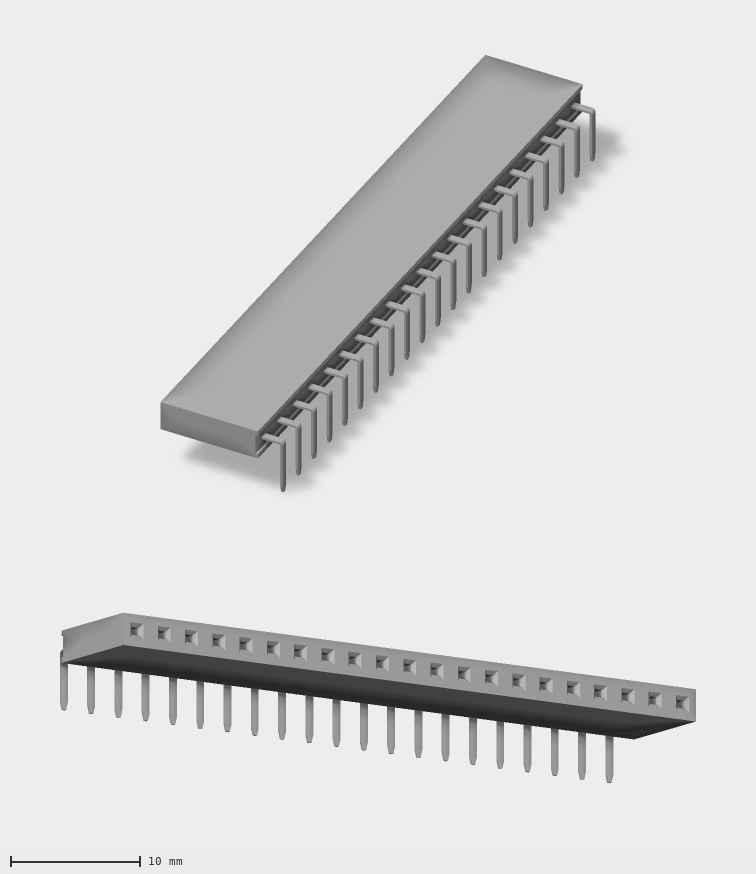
import cadquery as cq

pin_count = 21
pitch = 2.54

body_depth = 8.5
body_length = pin_count * pitch
body_height = pitch
mid_height = body_height / 2

channel_depth = 0.2
channel_height = 1.7

mouth_size = 1.2
well_width = 0.6
funnel_depth = 0.3
well_depth = 6.0

overall_depth = 10.13
overall_height = 5.84
pin_width = 0.6
pin_thickness = 0.2
bend_radius = 0.3
pin_start = 1.3
tip_length = 0.6
solder_tip_width = 0.3
contact_tip_width = 0.36

channel_floor_x = body_depth - channel_depth
pin_bottom = body_height - overall_height
pin_top = mid_height + pin_thickness / 2


def socket_positions():
    first = -(pin_count - 1) * pitch / 2
    return [first + i * pitch for i in range(pin_count)]


def make_body():
    block = cq.Workplane("XY").box(body_depth, body_length, body_height, centered=(False, True, False))
    channel = (
        cq.Workplane("XY")
        .box(channel_depth, body_length, channel_height, centered=(False, True, True))
        .translate((channel_floor_x, 0, mid_height))
    )
    return block.cut(channel)


def make_socket(y):
    """Void of one socket: funnel plus well, opening at the front face."""
    funnel = (
        cq.Workplane("YZ")
        .center(y, mid_height)
        .rect(mouth_size, mouth_size)
        .workplane(offset=funnel_depth)
        .rect(well_width, well_width)
        .loft()
    )
    well = cq.Workplane("YZ").center(y, mid_height).rect(well_width, well_width).extrude(well_depth)
    return funnel.union(well)


def leg_outline(length, tip_width):
    """Outline of a flat pin leg, running along local Y from the bend to a narrowed tip."""
    return [
        (-pin_width / 2, 0),
        (-pin_width / 2, length - tip_length),
        (-tip_width / 2, length),
        (tip_width / 2, length),
        (pin_width / 2, length - tip_length),
        (pin_width / 2, 0),
    ]


def make_pin():
    """Flat strip bent to a right angle, narrowed at both tips, centred on Y = 0."""
    bend_x = overall_depth - bend_radius
    bend_z = pin_top - bend_radius
    inner_radius = bend_radius - pin_thickness
    contact_leg = (
        cq.Workplane(cq.Plane((bend_x, 0, pin_top - pin_thickness), xDir=(0, 1, 0), normal=(0, 0, 1)))
        .polyline(leg_outline(bend_x - pin_start, contact_tip_width))
        .close()
        .extrude(pin_thickness)
    )
    solder_leg = (
        cq.Workplane(cq.Plane((overall_depth, 0, bend_z), xDir=(0, 1, 0), normal=(-1, 0, 0)))
        .polyline(leg_outline(bend_z - pin_bottom, solder_tip_width))
        .close()
        .extrude(pin_thickness)
    )
    bend = (
        cq.Workplane("XZ")
        .moveTo(bend_x, pin_top)
        .radiusArc((overall_depth, bend_z), bend_radius)
        .lineTo(overall_depth - pin_thickness, bend_z)
        .radiusArc((bend_x, pin_top - pin_thickness), -inner_radius)
        .close()
        .extrude(pin_width / 2, both=True)
    )
    return contact_leg.union(bend).union(solder_leg)


result = make_body()
pin = make_pin()
for socket_y in socket_positions():
    result = result.cut(make_socket(socket_y)).union(pin.translate((0, socket_y, 0)))